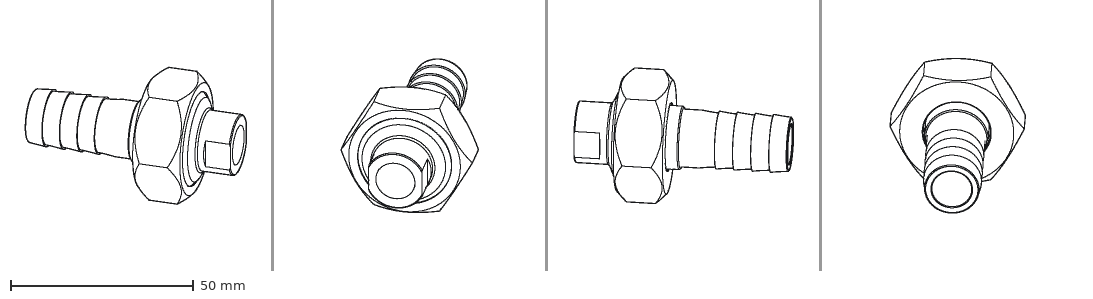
import cadquery as cq
import math

total_length = 59.0
bore_dia = 11.0

bore_mouth_dia = 11.45
nose_face_dia = 14.4
nose_chamfer = 0.25
barb_root_dia = 15.0
barb_tip_dia = 16.0
barb_pitch = 5.0
barb_land = 0.5
barb_count = 4
last_taper_end = 24.9
collar_dia = 17.5
collar_start = 29.9
collar_edge = 0.35
flange_dia = 24.15

nut_start = 33.45
nut_length = 13.55
nut_end = nut_start + nut_length
nut_across_flats = 32.0
nut_across_corners = nut_across_flats / math.cos(math.pi / 6)
nut_face_dia = 31.4
nut_shoulder = 3.55
nut_hole_dia = 18.5
nut_hole_chamfer = 0.25
nut_thread_dia = 26.4

flange_start = nut_start + nut_shoulder
adapter_start = 39.8
shoulder_dia = 23.5
shoulder_end = 48.0
adapter_chamfer = (nut_thread_dia - shoulder_dia) / 2
waist_fillet_start = 49.3
waist_fillet_dia = 18.05
spigot_start = 49.85
spigot_dia = 17.0
spigot_chamfer = 0.3
flats_width = 15.0
flats_start = 51.9
flats_run_out = 0.3


def bore_cylinder(diameter, start, end):
    """Cylinder on the X axis between two positions."""
    return cq.Workplane("YZ").workplane(offset=start).circle(diameter / 2).extrude(end - start)


def revolve_about_x(profile):
    """Revolve a closed XY profile one full turn about the X axis."""
    return profile.close().revolve(360, (0, 0, 0), (1, 0, 0))


def make_hose_tail():
    """Barbed tube with a collar and a flange held by the nut."""
    tip = barb_tip_dia / 2
    root = barb_root_dia / 2
    collar = collar_dia / 2
    flange = flange_dia / 2
    mouth_depth = (bore_mouth_dia - bore_dia) / 2

    profile = (
        cq.Workplane("XY")
        .moveTo(mouth_depth, bore_dia / 2)
        .lineTo(0, bore_mouth_dia / 2)
        .lineTo(0, nose_face_dia / 2)
        .lineTo(nose_chamfer, root)
    )
    for barb in range(1, barb_count + 1):
        barb_end = barb * barb_pitch
        profile = (
            profile.lineTo(barb_end, tip)
            .lineTo(barb_end, root)
            .lineTo(barb_end + barb_land, root)
        )

    fillet_middle = collar_edge * math.sqrt(0.5)
    profile = (
        profile.lineTo(last_taper_end, tip)
        .lineTo(collar_start - collar_edge, tip)
        .threePointArc(
            (collar_start - collar_edge + fillet_middle, tip + collar_edge - fillet_middle),
            (collar_start, tip + collar_edge),
        )
        .lineTo(collar_start, collar - collar_edge)
        .lineTo(collar_start + collar_edge, collar)
        .lineTo(flange_start, collar)
        .lineTo(flange_start, flange)
        .lineTo(adapter_start, flange)
        .lineTo(adapter_start, bore_dia / 2)
    )
    return revolve_about_x(profile)


def make_nut():
    """Hexagon nut, corners on Y, with both ends chamfered at 45 degrees."""
    hexagon = (
        cq.Workplane("YZ")
        .workplane(offset=nut_start)
        .polygon(6, nut_across_corners)
        .extrude(nut_length)
    )
    face = nut_face_dia / 2
    corner = nut_across_corners / 2
    chamfer = corner - face
    envelope = revolve_about_x(
        cq.Workplane("XY")
        .moveTo(nut_start, 0)
        .lineTo(nut_start, face)
        .lineTo(nut_start + chamfer, corner)
        .lineTo(nut_end - chamfer, corner)
        .lineTo(nut_end, face)
        .lineTo(nut_end, 0)
    )
    hole = nut_hole_dia / 2
    thread = nut_thread_dia / 2
    cavity = revolve_about_x(
        cq.Workplane("XY")
        .moveTo(nut_start, 0)
        .lineTo(nut_start, hole + nut_hole_chamfer)
        .lineTo(nut_start + nut_hole_chamfer, hole)
        .lineTo(flange_start, hole)
        .lineTo(flange_start, thread)
        .lineTo(nut_end, thread)
        .lineTo(nut_end, 0)
    )
    return hexagon.intersect(envelope).cut(cavity)


def make_flat_cutter():
    """Prism that mills the +Y wrench flat, with a sloped run-out."""
    flat = flats_width / 2
    surface = spigot_dia / 2
    return (
        cq.Workplane("XY")
        .moveTo(flats_start, flat)
        .lineTo(total_length, flat)
        .lineTo(total_length, surface)
        .lineTo(flats_start - flats_run_out, surface)
        .close()
        .extrude(surface, both=True)
    )


def make_adapter():
    """Threaded plug tapering down to a spigot with two wrench flats."""
    thread = nut_thread_dia / 2
    spigot = spigot_dia / 2
    body = revolve_about_x(
        cq.Workplane("XY")
        .moveTo(adapter_start, 0)
        .lineTo(adapter_start, thread)
        .lineTo(shoulder_end - adapter_chamfer, thread)
        .lineTo(shoulder_end, shoulder_dia / 2)
        .lineTo(waist_fillet_start, waist_fillet_dia / 2)
        .lineTo(spigot_start, spigot)
        .lineTo(total_length - spigot_chamfer, spigot)
        .lineTo(total_length, spigot - spigot_chamfer)
        .lineTo(total_length, 0)
    )
    flat_cutter = make_flat_cutter()
    body = body.cut(flat_cutter).cut(flat_cutter.mirror("XZ"))
    return body.cut(bore_cylinder(bore_dia, adapter_start, total_length))


hose_tail = make_hose_tail()
nut = make_nut()
adapter = make_adapter()

result = cq.Compound.makeCompound([hose_tail.val(), nut.val(), adapter.val()])